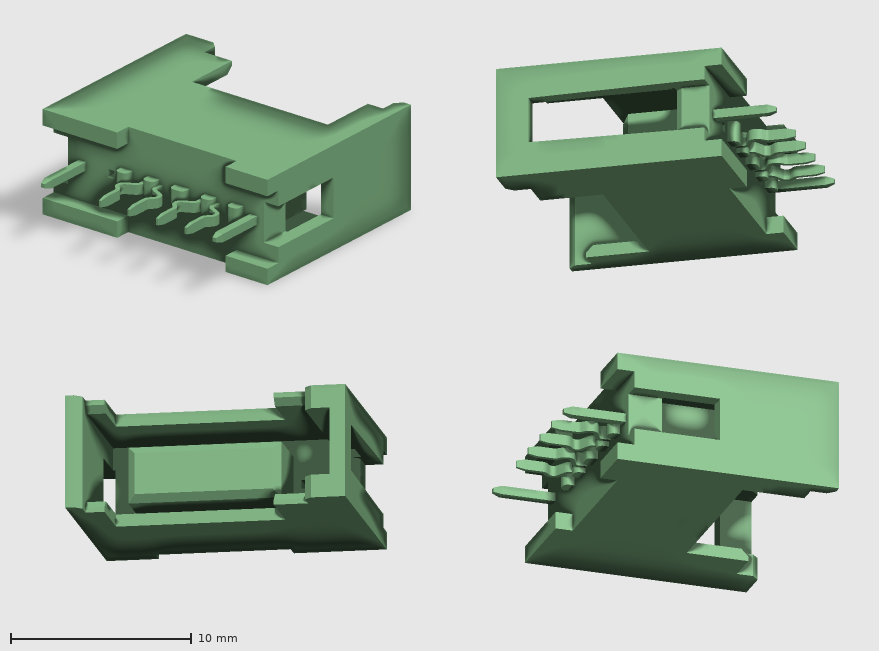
import cadquery as cq
import math


WIDTH = 15.8
HEIGHT = 6.4
LENGTH = 13.0
PLATE_THICKNESS = 0.7
SIDE_WALL = 0.9
FRONT_FACE_Y = 1.0
FRONT_WALL_BACK_Y = 2.97
LIP_THICKNESS = 1.0
LIP_GAP = 7.62
LEFT_X = -WIDTH / 2
RIGHT_X = WIDTH / 2

PITCH = 2.0
ROW_X = 1.15
PIN_PROTRUSION = 2.59
EMBED = 0.16

SHELF_WIDTH = 1.44
SHELF_CAVITY_HEIGHT = 3.79
NOTCH_WIDTH = 9.55
NOTCH_FRONT_Y = 8.03
PLATE_BACK_Y = 11.65
LEAD_IN = 0.41

TONGUE_WIDTH = 8.63
TONGUE_HEIGHT = 3.19
TONGUE_BACK_Y = 7.13
TONGUE_CHAMFER = 0.43

SLOT_DEPTH = 1.03
LEFT_SLOT_BACK_Y = 11.14
LEFT_SLOT_FRONT_HEIGHT = 2.85
LEFT_SLOT_BACK_HEIGHT = 2.6
SLOT_TAPER_START_Y = 2.59
RIGHT_SLOT_BACK_Y = 6.0
RIGHT_SLOT_HEIGHT = 2.48

POST_WIDTH = 0.8
MIDDLE_POST_WIDTH = 1.0
POST_HEIGHT = 1.2
POST_LENGTH = 0.6
POST_FILLET = 0.3
END_POST_OFFSET = 3.9

GUIDE_PIN_SIZE = 0.5
GUIDE_PIN_TIP_SIZE = 0.25
GUIDE_PIN_TIP_LENGTH = 0.46
CONTACT_HOLE_SIZE = 0.5

CONTACT_THICKNESS = 0.25
CONTACT_HEIGHT = 0.6
CONTACT_BEND_RADIUS = 0.35
CONTACT_LEAD_OFFSET = 0.5
CONTACT_BULGE_OFFSET = 1.39
CONTACT_BEND_YS = (0.3, -0.15, -0.55, -0.95)
CONTACT_TIP_LENGTH = 0.5
CONTACT_TIP_THICKNESS = 0.16
CONTACT_TIP_HEIGHT = 0.4


def box(x_range, y_range, height):
    """Box between two X and two Y limits, centred on the middle plane."""
    (x0, x1), (y0, y1) = x_range, y_range
    return cq.Workplane("XY").box(x1 - x0, y1 - y0, height).translate(((x0 + x1) / 2, (y0 + y1) / 2, 0))


def tapered_tip(x, start_y, base, end):
    """Tip pointing to -Y that shrinks from the base (X, Z) size to the end (X, Z) size."""
    return (
        cq.Workplane("XZ", origin=(x, start_y, 0))
        .rect(*base)
        .workplane(offset=PIN_PROTRUSION + start_y)
        .rect(*end)
        .loft(combine=True)
    )


cavity_left = LEFT_X + SIDE_WALL
cavity_right = RIGHT_X - SIDE_WALL
shelf_right = cavity_left + SHELF_WIDTH
cavity_height = HEIGHT - 2 * PLATE_THICKNESS


def make_shell():
    shell = box((LEFT_X, RIGHT_X), (0, LENGTH), HEIGHT)

    shell = shell.cut(box((LEFT_X, RIGHT_X), (0, FRONT_FACE_Y), HEIGHT - 2 * LIP_THICKNESS))
    shell = shell.cut(box((ROW_X - LIP_GAP / 2, ROW_X + LIP_GAP / 2), (0, FRONT_FACE_Y), HEIGHT))

    shell = shell.cut(box((shelf_right, cavity_right), (FRONT_WALL_BACK_Y, LENGTH), cavity_height))
    shell = shell.cut(box((cavity_left, shelf_right), (FRONT_WALL_BACK_Y, LENGTH), SHELF_CAVITY_HEIGHT))

    shell = shell.cut(box((shelf_right, cavity_right), (PLATE_BACK_Y, LENGTH), HEIGHT))
    shell = shell.cut(box((ROW_X - NOTCH_WIDTH / 2, ROW_X + NOTCH_WIDTH / 2), (NOTCH_FRONT_Y, LENGTH), HEIGHT))

    for x, inward in ((shelf_right, -1), (cavity_right, 1)):
        corner = [(x, LENGTH), (x + inward * LEAD_IN, LENGTH), (x, LENGTH - LEAD_IN)]
        shell = shell.cut(cq.Workplane("XY").polyline(corner).close().extrude(HEIGHT / 2, both=True))
    for side in (-1, 1):
        edge_z = side * cavity_height / 2
        corner = [
            (PLATE_BACK_Y, edge_z),
            (PLATE_BACK_Y, edge_z + side * LEAD_IN),
            (PLATE_BACK_Y - LEAD_IN, edge_z),
        ]
        lead_in = cq.Workplane("YZ", origin=(shelf_right, 0, 0)).polyline(corner).close()
        shell = shell.cut(lead_in.extrude(cavity_right - shelf_right))
    return shell


def make_tongue():
    half = TONGUE_WIDTH / 2
    tongue = box((ROW_X - half, ROW_X + half), (FRONT_WALL_BACK_Y - EMBED, TONGUE_BACK_Y), TONGUE_HEIGHT)
    return tongue.faces(">Y").chamfer(TONGUE_CHAMFER)


def make_left_slot():
    """Slot open at the front that narrows backwards, with a bevel where its floor meets the cavity."""
    front = LEFT_SLOT_FRONT_HEIGHT / 2
    back = LEFT_SLOT_BACK_HEIGHT / 2
    outline = [
        (FRONT_FACE_Y, -front),
        (SLOT_TAPER_START_Y, -front),
        (LEFT_SLOT_BACK_Y, -back),
        (LEFT_SLOT_BACK_Y, back),
        (SLOT_TAPER_START_Y, front),
        (FRONT_FACE_Y, front),
    ]
    slot = cq.Workplane("YZ", origin=(LEFT_X, 0, 0)).polyline(outline).close().extrude(SLOT_DEPTH)
    floor_x = LEFT_X + SLOT_DEPTH
    bevel_length = FRONT_WALL_BACK_Y - SLOT_TAPER_START_Y
    bevel = (
        cq.Workplane("XY")
        .polyline([
            (floor_x, SLOT_TAPER_START_Y),
            (floor_x, FRONT_WALL_BACK_Y),
            (floor_x + bevel_length, FRONT_WALL_BACK_Y),
        ])
        .close()
        .extrude(front, both=True)
    )
    return slot.union(bevel)


def make_right_slot():
    return box((RIGHT_X - SLOT_DEPTH, RIGHT_X), (FRONT_FACE_Y, RIGHT_SLOT_BACK_Y), RIGHT_SLOT_HEIGHT)


def make_post(x, width):
    post = box(
        (x - width / 2, x + width / 2),
        (FRONT_FACE_Y - POST_LENGTH, FRONT_FACE_Y + EMBED),
        POST_HEIGHT,
    )
    return post.faces("<Y").edges("|Z").fillet(POST_FILLET)


def make_guide_pin(x):
    half = GUIDE_PIN_SIZE / 2
    tip_start = GUIDE_PIN_TIP_LENGTH - PIN_PROTRUSION
    shank = box((x - half, x + half), (tip_start, FRONT_FACE_Y + EMBED), GUIDE_PIN_SIZE)
    tip = tapered_tip(x, tip_start, (GUIDE_PIN_SIZE,) * 2, (GUIDE_PIN_TIP_SIZE,) * 2)
    return shank.union(tip)


def headings(points):
    """Direction angle of every segment of a polyline."""
    return [math.atan2(q[1] - p[1], q[0] - p[0]) for p, q in zip(points, points[1:])]


def offset_line(points, distance):
    """Polyline parallel to the given one, shifted to its left by distance, with mitred corners."""
    directions = headings(points)
    arriving = directions[:1] + directions
    leaving = directions + directions[-1:]
    shifted = []
    for (x, y), before, after in zip(points, arriving, leaving):
        normal = (before + after + math.pi) / 2
        reach = distance / math.cos((after - before) / 2)
        shifted.append((x + reach * math.cos(normal), y + reach * math.sin(normal)))
    return shifted


def make_contact(pair_x, side):
    """Strip that leaves the wall near the pair's middle, bulges outwards and ends on the pitch."""
    lead_x = pair_x + side * CONTACT_LEAD_OFFSET
    bulge_x = pair_x + side * CONTACT_BULGE_OFFSET
    tip_x = pair_x + side * PITCH / 2
    tip_start = CONTACT_TIP_LENGTH - PIN_PROTRUSION
    bend_xs = (lead_x, bulge_x, bulge_x, tip_x)
    centre_line = [
        (lead_x, FRONT_FACE_Y + EMBED),
        *zip(bend_xs, CONTACT_BEND_YS),
        (tip_x, tip_start),
    ]
    half = CONTACT_THICKNESS / 2
    left_edge = offset_line(centre_line, half)
    right_edge = offset_line(centre_line, -half)
    strip = (
        cq.Workplane("XY")
        .polyline(left_edge + right_edge[::-1])
        .close()
        .extrude(CONTACT_HEIGHT / 2, both=True)
    )

    turns = [after - before for before, after in zip(headings(centre_line), headings(centre_line)[1:])]
    for left_corner, right_corner, turn in zip(left_edge[1:-1], right_edge[1:-1], turns):
        inward = math.copysign(half, turn)
        for corner, radius in (
            (left_corner, CONTACT_BEND_RADIUS - inward),
            (right_corner, CONTACT_BEND_RADIUS + inward),
        ):
            strip = strip.edges(cq.NearestToPointSelector((*corner, 0))).fillet(radius)

    tip = tapered_tip(
        tip_x,
        tip_start,
        (CONTACT_THICKNESS, CONTACT_HEIGHT),
        (CONTACT_TIP_THICKNESS, CONTACT_TIP_HEIGHT),
    )
    return strip.union(tip)


result = make_shell().union(make_tongue()).cut(make_left_slot()).cut(make_right_slot())

left_guide_x = ROW_X - 3.5 * PITCH
right_guide_x = left_guide_x + 6 * PITCH

hole_x = left_guide_x + PITCH
hole_half = CONTACT_HOLE_SIZE / 2
result = result.cut(
    box((hole_x - hole_half, hole_x + hole_half), (FRONT_FACE_Y, FRONT_WALL_BACK_Y), CONTACT_HOLE_SIZE)
)

for guide_x in (left_guide_x, right_guide_x):
    result = result.union(make_guide_pin(guide_x))

result = result.union(make_post(ROW_X, MIDDLE_POST_WIDTH))
for side in (-1, 1):
    pair_x = ROW_X + side * PITCH
    result = result.union(make_post(ROW_X + side * END_POST_OFFSET, POST_WIDTH))
    result = result.union(make_post(pair_x, POST_WIDTH))
    for contact_side in (-1, 1):
        result = result.union(make_contact(pair_x, contact_side))